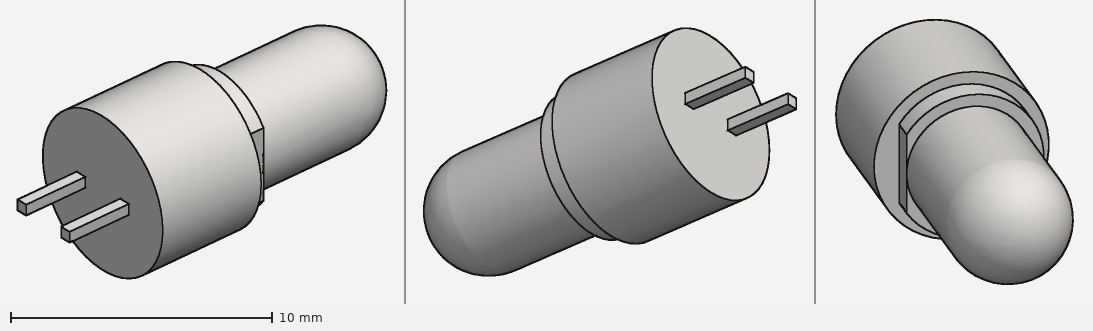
import cadquery as cq

total_length = 16.6
holder_diameter = 7.0
holder_length = 5.0
lens_diameter = 5.0
flange_diameter = 6.0
flange_length = 1.0
lead_width = 0.5
lead_spacing = 2.54
lead_projection = 3.0

lens_radius = lens_diameter / 2
lead_tip_y = -lead_projection
flange_base_y = holder_length
flange_top_y = flange_base_y + flange_length
lens_tip_y = lead_tip_y + total_length
dome_base_y = lens_tip_y - lens_radius


def cylinder_along_y(diameter, start_y, end_y):
    """Cylinder on the common axis between two Y stations."""
    return cq.Workplane("XZ", origin=(0, end_y, 0)).circle(diameter / 2).extrude(end_y - start_y)


def make_leads():
    """Two square leads from their free tips to the base of the LED flange."""
    return (
        cq.Workplane("XZ", origin=(0, flange_base_y, 0))
        .pushPoints([(-lead_spacing / 2, 0), (lead_spacing / 2, 0)])
        .rect(lead_width, lead_width)
        .extrude(flange_base_y - lead_tip_y)
    )


def make_flange():
    """Round flange with a polarity flat on +X, level with the lens side."""
    flange = cylinder_along_y(flange_diameter, flange_base_y, flange_top_y)
    flat_cutter = (
        cq.Workplane("XY")
        .box(flange_diameter, flange_length, flange_diameter, centered=(False, False, True))
        .translate((lens_radius, flange_base_y, 0))
    )
    return flange.cut(flat_cutter)


def make_lens():
    """Cylindrical lens with a hemispherical end, revolved about Y."""
    dome_mid = lens_radius * 0.5**0.5
    return (
        cq.Workplane("XY")
        .moveTo(0, flange_base_y)
        .lineTo(lens_radius, flange_base_y)
        .lineTo(lens_radius, dome_base_y)
        .threePointArc((dome_mid, dome_base_y + dome_mid), (0, lens_tip_y))
        .close()
        .revolve(360, (0, 0, 0), (0, 1, 0))
    )


def make_led():
    """LED: lens, flange and both leads as one solid."""
    return make_lens().union(make_flange()).union(make_leads())


def make_holder():
    """Round spacer under the LED, with a matching through hole for each lead."""
    return cylinder_along_y(holder_diameter, 0, holder_length).cut(make_leads())


led = make_led()
holder = make_holder()

result = cq.Compound.makeCompound([led.val(), holder.val()])